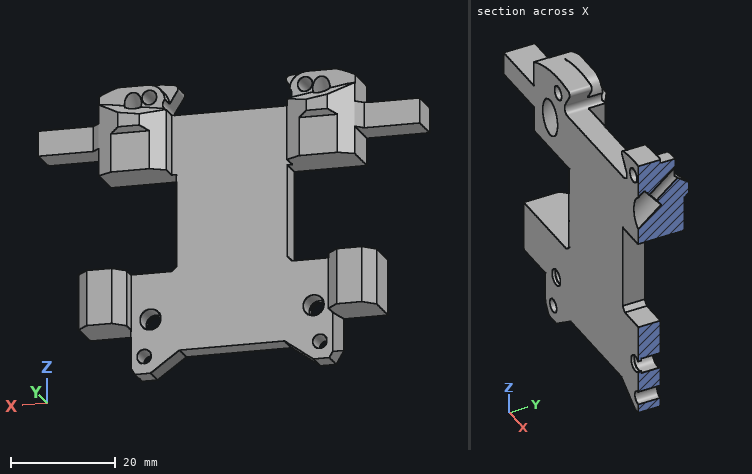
import cadquery as cq
import math


PLATE_THICKNESS = 4.8
TOTAL_DEPTH = 11.0
TOTAL_HEIGHT = 57.51
NECK_HALF_WIDTH = 11.05
NECK_CHAMFER = 0.95
NECK_BOTTOM_Z = 20.0
LOWER_EDGE_Z = 4.1
LOWER_EDGE_HALF_WIDTH = 10.45

FOOT_OUTER_X = -20.95
FOOT_TIP_OUTER_X = -19.4
FOOT_TIP_INNER_X = -16.2
FOOT_BEVEL_TOP_Z = 2.65
FOOT_DRAFT_ANGLE = 10.0

LOWER_BLOCK_HALF_WIDTH = 29.7
LOWER_BLOCK_BOTTOM_Z = 8.95
LOWER_BLOCK_DEPTH = 10.0
POST_WIDTH = 9.6
POST_CHAMFER = 2.3

HEAD_HALF_WIDTH = 25.5
HEAD_INNER_X = -12.0
HEAD_BOTTOM_Z = 39.2
HEAD_SIDE_Z = 55.15
CREST_X = -15.6
HEAD_BACK_Y = 8.0
HEAD_BACK_TOP_Z = 56.62
HEAD_BACK_INNER_X = -12.4
HEAD_BACK_RADIUS = 3.5

SLOT_FLOOR_Z = 51.1
SLOT_UNDERCUT_X = -13.9
SLOT_WALL_ANGLE = 57.6
SLOT_MOUTH_X = SLOT_UNDERCUT_X + (TOTAL_HEIGHT - SLOT_FLOOR_Z) / math.tan(math.radians(SLOT_WALL_ANGLE))
SLOT_CORNER_RADIUS = 1.3
SLOT_TIP_RADIUS = 0.8

ROOF_EAVE_Y = 8.3
ROOF_RIDGE_WIDTH = 4.2
ROOF_TOP_OUTER_Z = 53.4
ROOF_TOP_INNER_Z = 51.3
ROOF_TOP_SLOPE = 0.74
ROOF_LOW_Y = 10.0
ROOF_LOW_Z = 46.8

ARM_HALF_SPAN = 38.0
ARM_BOTTOM_Z = 44.65
ARM_TOP_Z = 49.7
ARM_BACK_Y = 6.8
ARM_GUSSET = ROOF_EAVE_Y - ARM_BACK_Y

HEAD_HOLE = (-15.5, 54.05)
HEAD_HOLE_DIAMETER = 2.9
FOOT_HOLE = (-17.5, 3.45)
FOOT_HOLE_DIAMETER = 2.8
BLOCK_HOLE = (-16.25, 10.75)
BLOCK_HOLE_DIAMETER = 3.4
BLOCK_HOLE_BACK_DIAMETER = 4.1
BLOCK_HOLE_STEP_Y = 0.7
SCREW_X = (-HEAD_HALF_WIDTH + HEAD_INNER_X) / 2
SCREW_ENTRY_Z = 46.4
SCREW_TILT = 40.0
SCREW_DIAMETER = 3.4
SCREW_HEAD_DIAMETER = 6.1
SCREW_HEAD_DEPTH = 4.05


def extrude_back(outline, start_y, end_y):
    """Extrude a closed XZ outline from start_y to end_y along +Y."""
    return outline.extrude(start_y - end_y).translate((0, start_y, 0))


def box(x_range, y_range, z_range):
    """Axis-aligned box from its coordinate ranges."""
    size = [high - low for low, high in (x_range, y_range, z_range)]
    corner = (x_range[0], y_range[0], z_range[0])
    return cq.Workplane("XY").box(*size, centered=False).translate(corner)


def prism_along_z(points, bottom_z, top_z):
    """Extrude a closed XY polygon between two heights."""
    return cq.Workplane("XY").polyline(points).close().extrude(top_z - bottom_z).translate((0, 0, bottom_z))


def cylinder_along_y(centre, diameter, start_y, end_y):
    """Cylinder along Y around an (X, Z) centre."""
    return extrude_back(cq.Workplane("XZ").center(*centre).circle(diameter / 2), start_y, end_y)


def make_crown():
    """Region below the arched crest of the head, down to the head's bottom."""
    run = CREST_X + HEAD_HALF_WIDTH
    drop = TOTAL_HEIGHT - HEAD_SIDE_Z
    radius = (run**2 + drop**2) / (2 * drop)
    centre_z = TOTAL_HEIGHT - radius
    arch = cylinder_along_y((CREST_X, centre_z), 2 * radius, 0, TOTAL_DEPTH)
    return arch.intersect(box((-HEAD_HALF_WIDTH, 0), (0, TOTAL_DEPTH), (HEAD_BOTTOM_Z, TOTAL_HEIGHT)))


def make_slot():
    """Slot between the heads, undercut at both ends."""
    outline = (
        cq.Workplane("XZ")
        .moveTo(-SLOT_UNDERCUT_X, SLOT_FLOOR_Z)
        .lineTo(SLOT_UNDERCUT_X, SLOT_FLOOR_Z)
        .lineTo(SLOT_MOUTH_X, TOTAL_HEIGHT)
        .lineTo(-SLOT_MOUTH_X, TOTAL_HEIGHT)
        .close()
    )
    slot = extrude_back(outline, 0, TOTAL_DEPTH)
    return slot.edges("|Y and <Z").fillet(SLOT_CORNER_RADIUS)


def round_slot_tips(part):
    """Round the two tips where the slot walls meet the arched crests."""
    for tip_x in (SLOT_MOUTH_X, -SLOT_MOUTH_X):
        tip = cq.selectors.NearestToPointSelector((tip_x, PLATE_THICKNESS / 2, TOTAL_HEIGHT))
        part = part.edges("|Y").edges(tip).fillet(SLOT_TIP_RADIUS)
    return part


def make_web():
    """Half of the plate between the slot floor and the lower edge, with its foot."""
    outline = (
        cq.Workplane("XZ")
        .moveTo(0, SLOT_FLOOR_Z)
        .lineTo(-NECK_HALF_WIDTH, SLOT_FLOOR_Z)
        .lineTo(-NECK_HALF_WIDTH, NECK_BOTTOM_Z + NECK_CHAMFER)
        .lineTo(-NECK_HALF_WIDTH - NECK_CHAMFER, NECK_BOTTOM_Z)
        .lineTo(FOOT_OUTER_X, NECK_BOTTOM_Z)
        .lineTo(FOOT_OUTER_X, FOOT_BEVEL_TOP_Z)
        .lineTo(FOOT_TIP_OUTER_X, 0)
        .lineTo(FOOT_TIP_INNER_X, 0)
        .lineTo(-LOWER_EDGE_HALF_WIDTH, LOWER_EDGE_Z)
        .lineTo(0, LOWER_EDGE_Z)
        .close()
    )
    web = extrude_back(outline, 0, PLATE_THICKNESS)
    inset = PLATE_THICKNESS * math.tan(math.radians(FOOT_DRAFT_ANGLE))
    draft = [
        (FOOT_OUTER_X, 0),
        (FOOT_OUTER_X + inset, PLATE_THICKNESS),
        (FOOT_OUTER_X, PLATE_THICKNESS),
    ]
    return web.cut(prism_along_z(draft, 0, LOWER_BLOCK_BOTTOM_Z))


def make_lower_block():
    """Side block whose outer end rises into a chamfered post."""
    outer = -LOWER_BLOCK_HALF_WIDTH
    inner = outer + POST_WIDTH
    shoulder_y = LOWER_BLOCK_DEPTH - POST_CHAMFER
    points = [
        (0, 0),
        (outer, 0),
        (outer, shoulder_y),
        (outer + POST_CHAMFER, LOWER_BLOCK_DEPTH),
        (inner - POST_CHAMFER, LOWER_BLOCK_DEPTH),
        (inner, shoulder_y),
        (inner, PLATE_THICKNESS),
        (0, PLATE_THICKNESS),
    ]
    return prism_along_z(points, LOWER_BLOCK_BOTTOM_Z, NECK_BOTTOM_Z)


def make_head():
    """Arched head with its plate-thick front, thicker back layer and roof boss."""
    front = box((-HEAD_HALF_WIDTH, 0), (0, PLATE_THICKNESS), (HEAD_BOTTOM_Z, TOTAL_HEIGHT))
    return front.union(make_head_back()).intersect(make_crown()).union(make_roof())


def make_head_back():
    """Thicker layer behind the plate, with a rounded inner top corner."""
    back = box(
        (-HEAD_HALF_WIDTH, HEAD_BACK_INNER_X),
        (0, HEAD_BACK_Y),
        (HEAD_BOTTOM_Z, HEAD_BACK_TOP_Z),
    )
    return back.edges("|Y and >X and >Z").fillet(HEAD_BACK_RADIUS)


def make_roof():
    """Roof-shaped boss, bevelled above and stepped down below its ridge."""
    ridge_left = SCREW_X - ROOF_RIDGE_WIDTH / 2
    ridge_right = SCREW_X + ROOF_RIDGE_WIDTH / 2
    section = [
        (-HEAD_HALF_WIDTH, 0),
        (-HEAD_HALF_WIDTH, ROOF_EAVE_Y),
        (ridge_left, TOTAL_DEPTH),
        (ridge_right, TOTAL_DEPTH),
        (HEAD_INNER_X, ROOF_EAVE_Y),
        (HEAD_INNER_X, 0),
    ]
    roof = prism_along_z(section, HEAD_BOTTOM_Z, ROOF_TOP_OUTER_Z)

    inward_slope = (ROOF_TOP_OUTER_Z - ROOF_TOP_INNER_Z) / (HEAD_INNER_X + HEAD_HALF_WIDTH)
    top_face = cq.Plane(
        origin=(-HEAD_HALF_WIDTH, ROOF_EAVE_Y, ROOF_TOP_OUTER_Z),
        normal=(inward_slope, ROOF_TOP_SLOPE, 1),
    )
    above = cq.Workplane(top_face).rect(TOTAL_HEIGHT, TOTAL_HEIGHT).extrude(TOTAL_DEPTH)
    behind_eaves = box((-HEAD_HALF_WIDTH, 0), (HEAD_BACK_Y, TOTAL_DEPTH), (HEAD_BOTTOM_Z, TOTAL_HEIGHT))
    roof = roof.cut(above.intersect(behind_eaves))

    step = [
        (ROOF_LOW_Y, HEAD_BOTTOM_Z),
        (ROOF_LOW_Y, ROOF_LOW_Z),
        (TOTAL_DEPTH, ROOF_LOW_Z + TOTAL_DEPTH - ROOF_LOW_Y),
        (TOTAL_DEPTH, HEAD_BOTTOM_Z),
    ]
    return roof.cut(cq.Workplane("YZ").polyline(step).close().extrude(-HEAD_HALF_WIDTH))


def make_arm():
    """Side arm with a 45-degree gusset against the head."""
    points = [
        (SCREW_X, 0),
        (-ARM_HALF_SPAN, 0),
        (-ARM_HALF_SPAN, ARM_BACK_Y),
        (-HEAD_HALF_WIDTH - ARM_GUSSET, ARM_BACK_Y),
        (-HEAD_HALF_WIDTH, ROOF_EAVE_Y),
        (SCREW_X, ROOF_EAVE_Y),
    ]
    return prism_along_z(points, ARM_BOTTOM_Z, ARM_TOP_Z)


def make_screw_hole():
    """Counterbored screw hole that climbs from the front face toward the back."""
    tilt = math.radians(SCREW_TILT)
    entry = cq.Vector(SCREW_X, 0, SCREW_ENTRY_Z)
    axis = cq.Vector(0, math.cos(tilt), math.sin(tilt))
    start = entry - axis * TOTAL_DEPTH
    bore = cq.Solid.makeCylinder(SCREW_DIAMETER / 2, 3 * TOTAL_DEPTH, start, axis)
    head = cq.Solid.makeCylinder(SCREW_HEAD_DIAMETER / 2, TOTAL_DEPTH + SCREW_HEAD_DEPTH, start, axis)
    return cq.Workplane(bore.fuse(head))


def make_straight_holes():
    """Holes that run along Y; the block hole widens behind a thin front lip."""
    return (
        cylinder_along_y(HEAD_HOLE, HEAD_HOLE_DIAMETER, 0, TOTAL_DEPTH)
        .union(cylinder_along_y(FOOT_HOLE, FOOT_HOLE_DIAMETER, 0, PLATE_THICKNESS))
        .union(cylinder_along_y(BLOCK_HOLE, BLOCK_HOLE_DIAMETER, 0, PLATE_THICKNESS))
        .union(cylinder_along_y(BLOCK_HOLE, BLOCK_HOLE_BACK_DIAMETER, BLOCK_HOLE_STEP_Y, PLATE_THICKNESS))
    )


half = make_head().union(make_arm()).union(make_web()).union(make_lower_block())
half = half.cut(make_screw_hole()).cut(make_straight_holes())

part = half.union(half.mirror("YZ")).cut(make_slot())
result = round_slot_tips(part)